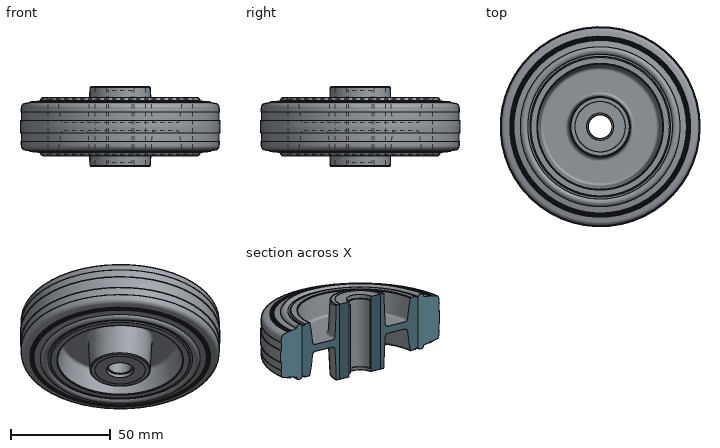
import cadquery as cq
import math


TIRE_RADIUS = 50.0
SHOULDER_RADIUS = 49.5
SHOULDER_Z = 9.8
SHOULDER_BULGE = 0.35
SHOULDER_TILT = math.radians(45)
TREAD_GROOVE_RADIUS = 49.5
GROOVE_INNER_Z = 3.2
GROOVE_OUTER_Z = 7.4

SIDE_OUTER_RADIUS = 47.9
SIDE_OUTER_Z = 11.6
BEAD_FOOT_Z = 13.0

RIDGE_COUNT = 3
RIDGE_OUTERMOST_RADIUS = 45.0
RIDGE_PITCH = 0.8
RIDGE_WIDTH = 0.5
RIDGE_HEIGHT = RIDGE_WIDTH / 2

BEAD_RADIUS = 2.0
BEAD_TOP_Z = 14.7
BEAD_CENTER_RADIUS = 38.0
BEAD_CENTER_Z = BEAD_TOP_Z - BEAD_RADIUS
RIM_SEAT_RADIUS = 36.2

LEDGE_Z = BEAD_CENTER_Z + math.sqrt(BEAD_RADIUS**2 - (BEAD_CENTER_RADIUS - RIM_SEAT_RADIUS) ** 2)
RIM_CHAMFER = 0.6
RIM_TOP_Z = LEDGE_Z + RIM_CHAMFER
RIM_LAND_RADIUS = 35.2
RIM_MOUTH_RADIUS = 31.7
RIM_MOUTH_CHAMFER = 0.4

WEB_Z = 2.0
WEB_FILLET = 1.5
RIM_WALL_FOOT_RADIUS = 29.4
HUB_TOP_Z = 20.0
HUB_TOP_RADIUS = 15.1
HUB_FOOT_RADIUS = 16.0
HUB_CHAMFER = 0.5

SLEEVE_RADIUS = 12.6
TUBE_RADIUS = 6.8
BORE_RADIUS = 5.9
TUBE_END_Z = 18.0


def revolve_with_mirror(upper_half):
    """Revolve an XZ profile of the upper half about Z, and add its mirror image."""
    half = upper_half.close().revolve(360, (0, 0, 0), (0, 1, 0))
    return half.union(half.mirror("XY")).solids()


def make_ring(outer_radius, inner_radius, half_length):
    """Plain ring centred on Z = 0."""
    ring = cq.Workplane("XY").circle(outer_radius).circle(inner_radius)
    return ring.extrude(half_length, both=True).solids()


def tread_radius(z):
    """Radius of the slightly conical tread at height z."""
    return TIRE_RADIUS - (TIRE_RADIUS - SHOULDER_RADIUS) * z / SHOULDER_Z


def make_tire():
    """Tire with grooved tread, ridged side walls and a bead beside the rim."""
    shoulder_mid = (
        (SHOULDER_RADIUS + SIDE_OUTER_RADIUS) / 2 + SHOULDER_BULGE * math.cos(SHOULDER_TILT),
        (SHOULDER_Z + SIDE_OUTER_Z) / 2 + SHOULDER_BULGE * math.sin(SHOULDER_TILT),
    )
    bead_foot_rise = BEAD_FOOT_Z - BEAD_CENTER_Z
    bead_foot_radius = BEAD_CENTER_RADIUS + math.sqrt(BEAD_RADIUS**2 - bead_foot_rise**2)
    side_slope = (BEAD_FOOT_Z - SIDE_OUTER_Z) / (SIDE_OUTER_RADIUS - bead_foot_radius)

    def side_point(radius, rise=0):
        """Point on the conical side wall, lifted by rise."""
        return (radius, SIDE_OUTER_Z + side_slope * (SIDE_OUTER_RADIUS - radius) + rise)

    profile = (
        cq.Workplane("XZ")
        .moveTo(RIM_SEAT_RADIUS, 0)
        .lineTo(TIRE_RADIUS, 0)
        .lineTo(tread_radius(GROOVE_INNER_Z), GROOVE_INNER_Z)
        .lineTo(TREAD_GROOVE_RADIUS, GROOVE_INNER_Z)
        .lineTo(TREAD_GROOVE_RADIUS, GROOVE_OUTER_Z)
        .lineTo(tread_radius(GROOVE_OUTER_Z), GROOVE_OUTER_Z)
        .lineTo(SHOULDER_RADIUS, SHOULDER_Z)
        .threePointArc(shoulder_mid, (SIDE_OUTER_RADIUS, SIDE_OUTER_Z))
    )
    for index in range(RIDGE_COUNT):
        ridge_radius = RIDGE_OUTERMOST_RADIUS - index * RIDGE_PITCH
        profile = (
            profile
            .lineTo(*side_point(ridge_radius + RIDGE_WIDTH / 2))
            .threePointArc(
                side_point(ridge_radius, RIDGE_HEIGHT),
                side_point(ridge_radius - RIDGE_WIDTH / 2),
            )
        )
    profile = (
        profile
        .lineTo(bead_foot_radius, BEAD_FOOT_Z)
        .threePointArc((BEAD_CENTER_RADIUS, BEAD_TOP_Z), (RIM_SEAT_RADIUS, LEDGE_Z))
    )
    return revolve_with_mirror(profile)


def make_rim():
    """Rim with a dished web and a tapered hub, bored through for the sleeve."""
    profile = (
        cq.Workplane("XZ")
        .moveTo(SLEEVE_RADIUS, 0)
        .lineTo(RIM_SEAT_RADIUS, 0)
        .lineTo(RIM_SEAT_RADIUS, LEDGE_Z)
        .lineTo(RIM_LAND_RADIUS, LEDGE_Z)
        .lineTo(RIM_LAND_RADIUS - RIM_CHAMFER, RIM_TOP_Z)
        .lineTo(RIM_MOUTH_RADIUS, RIM_TOP_Z)
        .lineTo(RIM_MOUTH_RADIUS - RIM_MOUTH_CHAMFER, RIM_TOP_Z - RIM_MOUTH_CHAMFER)
        .lineTo(RIM_WALL_FOOT_RADIUS, WEB_Z)
        .lineTo(HUB_FOOT_RADIUS, WEB_Z)
        .lineTo(HUB_TOP_RADIUS, HUB_TOP_Z - HUB_CHAMFER)
        .lineTo(HUB_TOP_RADIUS - HUB_CHAMFER, HUB_TOP_Z)
        .lineTo(SLEEVE_RADIUS, HUB_TOP_Z)
    )
    rim = revolve_with_mirror(profile)
    around_web = cq.selectors.BoxSelector(
        (-RIM_SEAT_RADIUS, -RIM_SEAT_RADIUS, -WEB_Z - WEB_FILLET),
        (RIM_SEAT_RADIUS, RIM_SEAT_RADIUS, WEB_Z + WEB_FILLET),
    )
    web_faces = rim.faces(around_web).faces("|Z")
    return web_faces.edges().fillet(WEB_FILLET).solids()


tire = make_tire()
rim = make_rim()
sleeve = make_ring(SLEEVE_RADIUS, TUBE_RADIUS, HUB_TOP_Z)
tube = make_ring(TUBE_RADIUS, BORE_RADIUS, TUBE_END_Z)

result = cq.Compound.makeCompound([tire.val(), rim.val(), sleeve.val(), tube.val()])